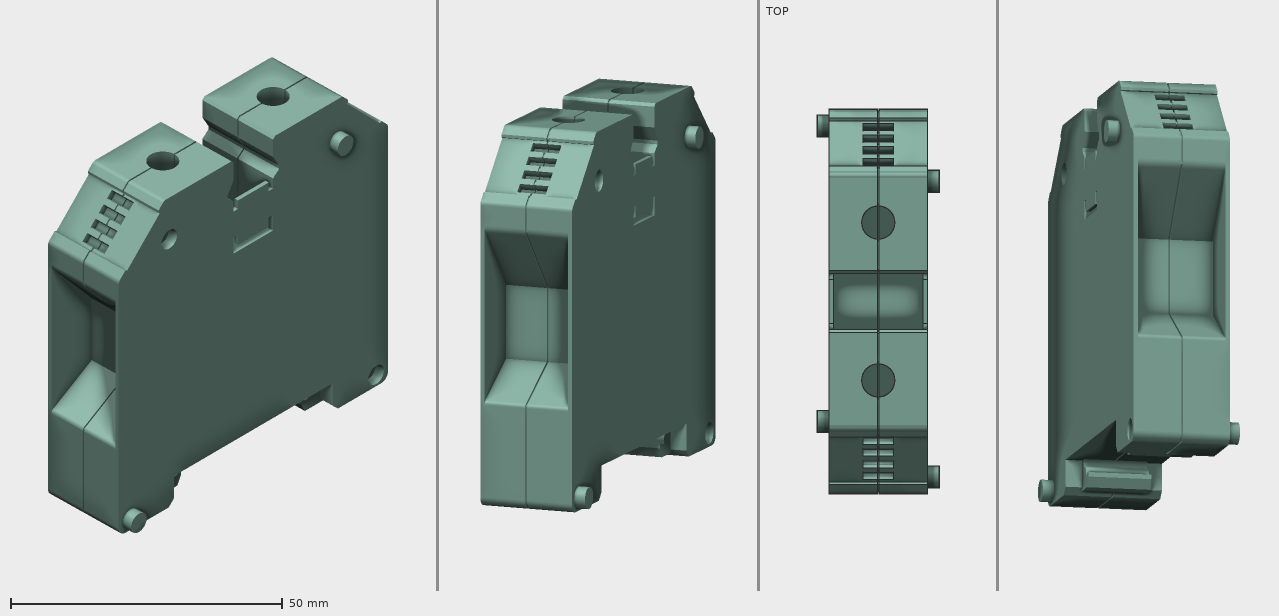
import cadquery as cq
import math

HALF_LENGTH = 35.5
HEIGHT = 69.6
BODY_WIDTH = 18.25
SIDE_WALL = 0.85
INNER_WIDTH = BODY_WIDTH - 2 * SIDE_WALL

BROW_HALF = 25.0
BROW_BASE = 68.1
BROW_LIP = 0.6
SLOPE_TOP = (24.65, 67.4)
SLOPE_FOOT = (33.3, 58.7)
SHOULDER_HALF = 33.8
SHOULDER_TOP = 58.9
SOFT_RADIUS = 1.2
CORNER_RADIUS = 1.8
FOOT_INNER = 20.95
FOOT_CHAMFER = 1.35
RAIL_HEIGHT = 6.4

SLOT_HALF = 5.2
SLOT_EDGE_CHAMFER = 0.6
NECK_TOP = 65.1
NECK_BOTTOM = 60.3
BULGE_HALF = 6.8
BULGE_TOP = 62.35
BULGE_BOTTOM = 61.6
CAVITY_FLOOR = 48.55

TAB_HALF = 4.05
TAB_TOP = 59.9
TAB_BOTTOM = 49.9
BRIDGE_TOP = 58.0
BRIDGE_BOTTOM = 52.1

FUNNEL_TOP = 52.05
FUNNEL_BOTTOM = 19.75
FUNNEL_BACK_TOP = 39.8
FUNNEL_BACK_BOTTOM = 25.9
FUNNEL_DEPTH = 10.65
FUNNEL_TOP_RADIUS = 2.1
FUNNEL_BOTTOM_RADIUS = 0.9

GRIP_COUNT = 4
GRIP_LENGTH = 5.7
GRIP_WIDTH = 1.85
GRIP_DEPTH = 1.55
GRIP_FLARE_DEPTH = 0.7
GRIP_FLARE_ANGLE = 15
GRIP_PITCH = 3.05

SCREW_Y = 14.55
SCREW_RADIUS = 3.05
SCREW_DEPTH = 14.2

PIN_RADIUS = 2.05
PIN_LENGTH = 2.1
UPPER_PIN = (22.15, 60.2)
LOWER_PIN = (32.4, 2.55)

HOOK_WIDTH = 11.9
HOOK_OVERLAP = 1.1
HOOK_BASE = 0.65
HOOK_HEEL_Y = 16.8
HOOK_TIP_Y = 15.9
HOOK_TIP_BOTTOM = 2.5
HOOK_TIP_TOP = 3.35
HOOK_NOTCH_Y = (16.75, 17.7)
HOOK_NOTCH_FLOOR = 3.05
HOOK_KNEE_ARC = [(18.7, 4.9), (18.0, 4.5), (17.7, 3.7)]
HOOK_THROAT_ARC = [(19.45, RAIL_HEIGHT), (19.7, 5.6), (19.3, 4.9)]

SEAM_WIDTH = 0.35
SEAM_DEPTH = 0.35


def prism(profile, width, grow=0.0):
    """Extrude a closed YZ profile symmetrically in X, first offset by grow."""
    if grow:
        profile = profile.offset2D(grow, "intersection")
    return profile.extrude(width / 2, both=True)


def both_ends(solid):
    """The solid together with its mirror image about Y = 0."""
    return solid.union(solid.mirror("XZ"))


def yz_polygon(points):
    return cq.Workplane("YZ").polyline(points).close()


def yz_box(half_length, bottom, top, middle=0.0):
    return yz_polygon([
        (middle - half_length, bottom),
        (middle + half_length, bottom),
        (middle + half_length, top),
        (middle - half_length, top),
    ])


def outline():
    """Outer section with the necked slot open at the top."""
    soft_run = SOFT_RADIUS * math.sin(math.pi / 4)
    soft_inset = SOFT_RADIUS * (1 - math.cos(math.pi / 4))
    soft_mid = SOFT_RADIUS * math.sin(math.pi / 8)
    soft_bend = SOFT_RADIUS * (1 - math.cos(math.pi / 8))
    brow_start = BROW_HALF - (HEIGHT - soft_inset - BROW_BASE) - soft_run
    shoulder_base = SHOULDER_TOP - (HALF_LENGTH - soft_inset - SHOULDER_HALF) - soft_run
    shoulder_peak = (SHOULDER_HALF, SHOULDER_TOP)
    corner = HALF_LENGTH - CORNER_RADIUS
    bend = CORNER_RADIUS * (1 - math.sqrt(0.5))
    half = (
        cq.Workplane("YZ")
        .moveTo(0, RAIL_HEIGHT)
        .lineTo(FOOT_INNER, RAIL_HEIGHT)
        .lineTo(FOOT_INNER, FOOT_CHAMFER)
        .lineTo(FOOT_INNER + FOOT_CHAMFER, 0)
        .lineTo(corner, 0)
        .threePointArc((HALF_LENGTH - bend, bend), (HALF_LENGTH, CORNER_RADIUS))
        .lineTo(HALF_LENGTH, shoulder_base)
        .threePointArc(
            (HALF_LENGTH - soft_bend, shoulder_base + soft_mid),
            (HALF_LENGTH - soft_inset, shoulder_base + soft_run),
        )
        .lineTo(*shoulder_peak)
        .lineTo(*SLOPE_FOOT)
        .lineTo(*SLOPE_TOP)
        .lineTo(BROW_HALF, BROW_BASE - BROW_LIP)
        .lineTo(BROW_HALF, BROW_BASE)
        .lineTo(brow_start + soft_run, HEIGHT - soft_inset)
        .threePointArc((brow_start + soft_mid, HEIGHT - soft_bend), (brow_start, HEIGHT))
        .lineTo(SLOT_HALF + SLOT_EDGE_CHAMFER, HEIGHT)
        .lineTo(SLOT_HALF, HEIGHT - SLOT_EDGE_CHAMFER)
        .lineTo(SLOT_HALF, NECK_TOP)
        .lineTo(BULGE_HALF, BULGE_TOP)
        .lineTo(BULGE_HALF, BULGE_BOTTOM)
        .lineTo(SLOT_HALF, NECK_BOTTOM)
        .lineTo(0, NECK_BOTTOM)
    )
    return half.mirrorY()


def cavity_profile():
    return yz_box(SLOT_HALF, CAVITY_FLOOR, NECK_BOTTOM)


def funnel_profile():
    back = FUNNEL_DEPTH - HALF_LENGTH
    return yz_polygon([
        (-HALF_LENGTH, FUNNEL_BOTTOM),
        (back, FUNNEL_BACK_BOTTOM),
        (back, FUNNEL_BACK_TOP),
        (-HALF_LENGTH, FUNNEL_TOP),
    ])


def screw_profile():
    return yz_box(SCREW_RADIUS, HEIGHT - SCREW_DEPTH, HEIGHT, SCREW_Y)


def grip_slots(length, grow=0.0):
    """Slots cut square to both shoulder slopes, with flared mouths."""
    run = SLOPE_FOOT[0] - SLOPE_TOP[0]
    drop = SLOPE_TOP[1] - SLOPE_FOOT[1]
    tilt = math.atan2(drop, run)
    middle_y = (SLOPE_TOP[0] + SLOPE_FOOT[0]) / 2
    middle_z = (SLOPE_TOP[1] + SLOPE_FOOT[1]) / 2
    mouth = GRIP_WIDTH / 2
    floor = mouth - GRIP_FLARE_DEPTH * math.tan(math.radians(GRIP_FLARE_ANGLE))
    slots = cq.Workplane("YZ")
    for i in range(GRIP_COUNT):
        along = (i - (GRIP_COUNT - 1) / 2) * GRIP_PITCH
        profile = (
            cq.Workplane(
                "YZ",
                origin=(0, middle_y + along * math.cos(tilt), middle_z - along * math.sin(tilt)),
            )
            .transformed(rotate=(0, 0, -math.degrees(tilt)))
            .polyline([
                (-mouth, 0),
                (-floor, -GRIP_FLARE_DEPTH),
                (-floor, -GRIP_DEPTH),
                (floor, -GRIP_DEPTH),
                (floor, -GRIP_FLARE_DEPTH),
                (mouth, 0),
            ])
            .close()
        )
        slots = slots.add(prism(profile, length, grow))
    return both_ends(slots.combine())


def side_windows():
    """Openings left between the cavity outline and the cross-shaped tab."""
    windows = prism(cavity_profile(), BODY_WIDTH)
    tab = prism(yz_box(TAB_HALF, TAB_BOTTOM, TAB_TOP), BODY_WIDTH)
    bridge = prism(yz_box(SLOT_HALF, BRIDGE_BOTTOM, BRIDGE_TOP), BODY_WIDTH)
    return windows.cut(tab).cut(bridge)


def screw_holes():
    return (
        cq.Workplane("XY", origin=(0, 0, HEIGHT))
        .pushPoints([(0, -SCREW_Y), (0, SCREW_Y)])
        .circle(SCREW_RADIUS)
        .extrude(-SCREW_DEPTH)
    )


def funnels(body):
    """Cut both end funnels and round their upper and lower entry edges."""
    body = body.cut(both_ends(prism(funnel_profile(), INNER_WIDTH)))
    for end in (-HALF_LENGTH, HALF_LENGTH):
        for level, radius in (
            (FUNNEL_TOP, FUNNEL_TOP_RADIUS),
            (FUNNEL_BOTTOM, FUNNEL_BOTTOM_RADIUS),
        ):
            edge = cq.selectors.NearestToPointSelector((0, end, level))
            body = body.edges("|X").edges(edge).fillet(radius)
    return body


def seam():
    """Shallow groove along the outline, cavity, funnels, screw holes and grip slots at X = 0."""
    core = prism(outline(), SEAM_WIDTH, -SEAM_DEPTH)
    core = core.cut(prism(cavity_profile(), SEAM_WIDTH, SEAM_DEPTH))
    core = core.cut(grip_slots(SEAM_WIDTH, SEAM_DEPTH))
    for profile in (funnel_profile(), screw_profile()):
        core = core.cut(both_ends(prism(profile, SEAM_WIDTH, SEAM_DEPTH)))
    return prism(outline(), SEAM_WIDTH).cut(core)


def hooks():
    """Rail hooks, narrower than the body, on both feet."""
    hook = (
        cq.Workplane("YZ")
        .moveTo(FOOT_INNER + HOOK_OVERLAP, HOOK_BASE)
        .lineTo(FOOT_INNER + HOOK_OVERLAP, RAIL_HEIGHT)
        .lineTo(*HOOK_THROAT_ARC[0])
        .threePointArc(*HOOK_THROAT_ARC[1:])
        .lineTo(*HOOK_KNEE_ARC[0])
        .threePointArc(*HOOK_KNEE_ARC[1:])
        .lineTo(HOOK_NOTCH_Y[1], HOOK_NOTCH_FLOOR)
        .lineTo(HOOK_NOTCH_Y[0], HOOK_NOTCH_FLOOR)
        .lineTo(HOOK_NOTCH_Y[0], HOOK_TIP_TOP)
        .lineTo(HOOK_TIP_Y, HOOK_TIP_TOP)
        .lineTo(HOOK_TIP_Y, HOOK_TIP_BOTTOM)
        .lineTo(HOOK_HEEL_Y, HOOK_BASE)
        .close()
    )
    return both_ends(prism(hook, HOOK_WIDTH))


def side_cylinders(side, places, length):
    """Cylinders starting on a side face; a negative length goes into the body."""
    return (
        cq.Workplane("YZ", origin=(side * BODY_WIDTH / 2, 0, 0))
        .pushPoints(places)
        .circle(PIN_RADIUS)
        .extrude(side * length)
    )


def add_pins_and_sockets(body):
    """Each side has pins at two diagonal places and sockets at the other two."""
    for side in (-1, 1):
        pin_places = [(side * UPPER_PIN[0], UPPER_PIN[1]), (-side * LOWER_PIN[0], LOWER_PIN[1])]
        socket_places = [(-y, z) for y, z in pin_places]
        body = body.union(side_cylinders(side, pin_places, PIN_LENGTH))
        body = body.cut(side_cylinders(side, socket_places, -PIN_LENGTH))
    return body


body = prism(outline(), BODY_WIDTH)
body = body.cut(prism(cavity_profile(), INNER_WIDTH))
body = funnels(body)
body = body.cut(side_windows())
body = body.cut(grip_slots(GRIP_LENGTH))
body = body.cut(screw_holes())
body = body.cut(seam())
body = body.union(hooks())
result = add_pins_and_sockets(body)